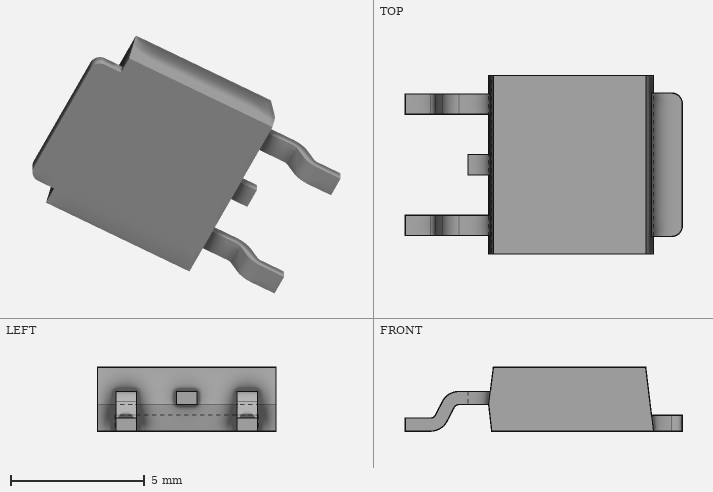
import cadquery as cq
import math

TOTAL_LENGTH = 10.4

HOUSING_WIDTH = 6.7
HOUSING_HEIGHT = 2.4
BELT_X = 3.13
BELT_Z = 1.0
LEAD_SIDE_TOP_X = 3.31
LEAD_SIDE_BOTTOM_X = 3.25
TAB_SIDE_TOP_X = 9.03
TAB_SIDE_BOTTOM_X = 9.32

LEAD_THICKNESS = 0.5
LEAD_WIDTH = 0.77
LEAD_SPACING = 4.55
FOOT_LENGTH = 0.96
SHOULDER_X = 2.02
INNER_BEND_RADIUS = 0.2
STUB_TIP_X = 2.35
LEAD_BOTTOM_Z = BELT_Z
LEAD_TOP_Z = LEAD_BOTTOM_Z + LEAD_THICKNESS
OUTER_BEND_RADIUS = INNER_BEND_RADIUS + LEAD_THICKNESS

TAB_WIDTH = 5.39
TAB_THICKNESS = 0.6
TAB_CORNER_RADIUS = 0.41


def extrude_across(profile, width, center_y=0.0):
    """Extrude a closed XZ profile along Y, centred on center_y."""
    return profile.extrude(width / 2, both=True).translate((0, center_y, 0)).solids()


def make_housing():
    profile = (
        cq.Workplane("XZ")
        .moveTo(LEAD_SIDE_BOTTOM_X, 0)
        .lineTo(TAB_SIDE_BOTTOM_X, 0)
        .lineTo(TAB_SIDE_TOP_X, HOUSING_HEIGHT)
        .lineTo(LEAD_SIDE_TOP_X, HOUSING_HEIGHT)
        .lineTo(BELT_X, BELT_Z)
        .close()
    )
    return extrude_across(profile, HOUSING_WIDTH)


def bend_angle():
    """Slope of the straight ramp tangent to both bends, in radians."""
    bend_diameter = INNER_BEND_RADIUS + OUTER_BEND_RADIUS
    run = SHOULDER_X - FOOT_LENGTH
    rise = LEAD_BOTTOM_Z - bend_diameter
    return math.atan2(rise, run) + math.asin(bend_diameter / math.hypot(run, rise))


def make_lead(center_y, housing):
    """Gull-wing lead whose inner end lies flat against the housing face."""
    angle = bend_angle()
    lower_center_z = OUTER_BEND_RADIUS
    upper_center_z = LEAD_TOP_Z - OUTER_BEND_RADIUS

    def lower_bend(radius, turn):
        return (FOOT_LENGTH + radius * math.sin(turn), lower_center_z - radius * math.cos(turn))

    def upper_bend(radius, turn):
        return (SHOULDER_X - radius * math.sin(turn), upper_center_z + radius * math.cos(turn))

    profile = (
        cq.Workplane("XZ")
        .moveTo(0, 0)
        .lineTo(FOOT_LENGTH, 0)
        .threePointArc(lower_bend(OUTER_BEND_RADIUS, angle / 2), lower_bend(OUTER_BEND_RADIUS, angle))
        .lineTo(*upper_bend(INNER_BEND_RADIUS, angle))
        .threePointArc(upper_bend(INNER_BEND_RADIUS, angle / 2), upper_bend(INNER_BEND_RADIUS, 0))
        .lineTo(LEAD_SIDE_TOP_X, LEAD_BOTTOM_Z)
        .lineTo(LEAD_SIDE_TOP_X, LEAD_TOP_Z)
        .lineTo(SHOULDER_X, LEAD_TOP_Z)
        .threePointArc(upper_bend(OUTER_BEND_RADIUS, angle / 2), upper_bend(OUTER_BEND_RADIUS, angle))
        .lineTo(*lower_bend(INNER_BEND_RADIUS, angle))
        .threePointArc(lower_bend(INNER_BEND_RADIUS, angle / 2), lower_bend(INNER_BEND_RADIUS, 0))
        .lineTo(0, LEAD_THICKNESS)
        .close()
    )
    return extrude_across(profile, LEAD_WIDTH, center_y).cut(housing).solids()


def make_stub(housing):
    """Cropped centre lead, level with the upper part of the long leads."""
    block = cq.Workplane("XY", origin=(STUB_TIP_X, 0, LEAD_BOTTOM_Z)).box(
        LEAD_SIDE_TOP_X - STUB_TIP_X, LEAD_WIDTH, LEAD_THICKNESS, centered=(False, True, False)
    )
    return block.cut(housing).solids()


def make_tab(housing):
    """Flat tab with rounded outer corners, ending against the sloped housing face."""
    plate = (
        cq.Workplane("XY", origin=(TAB_SIDE_TOP_X, 0, 0))
        .box(TOTAL_LENGTH - TAB_SIDE_TOP_X, TAB_WIDTH, TAB_THICKNESS, centered=(False, True, False))
        .edges("|Z and >X")
        .fillet(TAB_CORNER_RADIUS)
    )
    return plate.cut(housing).solids()


housing = make_housing()
leads = [make_lead(side * LEAD_SPACING / 2, housing) for side in (-1, 1)]
stub = make_stub(housing)
tab = make_tab(housing)

result = cq.Compound.makeCompound(
    [housing.val(), *[lead.val() for lead in leads], stub.val(), tab.val()]
)